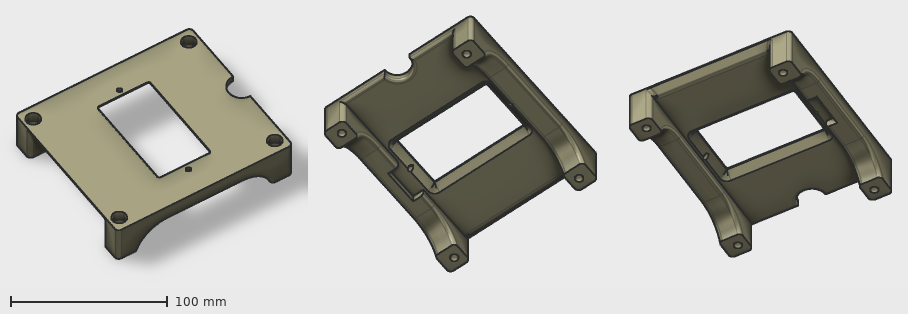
import cadquery as cq
import math

width = 118.7
length = 134.0
height = 27.9
corner_radius = 3.0

deck_thickness = 6.3
lip_thickness = 1.1
rail_width = 16.3
leg_edge_radius = 3.2
slope_foot_radius = 3.2
slope_corner_radius = 2.7
rear_edge_radius = 2.5

arch_top_depth = 12.3
arch_flat_half = 28.4
arch_radius = 24.1
arch_edge_radius = 2.5

leg_hole_spacing_x = 100.0
leg_hole_spacing_y = 118.7
leg_hole_diameter = 5.5
head_diameter = 10.0
head_depth = 8.0

window_width = 71.8
window_length = 39.9
window_corner_radius = 1.6
bevel_angle = 45.0
screw_spacing = 80.1
screw_hole_diameter = 3.5

notch_radius = 9.9

pocket_front_y = -17.4
pocket_rear_y = 9.1
pocket_depth = 8.0

deck_bottom = height - deck_thickness
lip_bottom = height - lip_thickness
slope_rise = lip_bottom - deck_bottom
arch_top = height - arch_top_depth
rail_outer_x = width / 2
rail_inner_x = rail_outer_x - rail_width
end_y = length / 2
slope_foot_y = slope_rise - end_y
touch = 0.1


def near(x_range, y_range, z_range):
    """Select what is centred inside a box given by its X, Y and Z ranges."""
    low, high = zip(x_range, y_range, z_range)
    return cq.selectors.BoxSelector(low, high)


def around(value):
    return value - touch, value + touch


def make_block():
    block = cq.Workplane("XY").box(width, length, height, centered=(True, True, False))
    return block.edges("|Z").fillet(corner_radius)


def make_passage(top):
    """Space between the legs up to a level, flared at both ends so that the leg edges are round."""
    flare_y = end_y - leg_edge_radius
    flare_x = rail_inner_x + leg_edge_radius
    flare_inset = leg_edge_radius * (1 - math.sqrt(0.5))
    mid_x = rail_inner_x + flare_inset
    mid_y = end_y - flare_inset
    return (
        cq.Workplane("XY")
        .moveTo(-flare_x, -end_y)
        .lineTo(flare_x, -end_y)
        .threePointArc((mid_x, -mid_y), (rail_inner_x, -flare_y))
        .lineTo(rail_inner_x, flare_y)
        .threePointArc((mid_x, mid_y), (flare_x, end_y))
        .lineTo(-flare_x, end_y)
        .threePointArc((-mid_x, mid_y), (-rail_inner_x, flare_y))
        .lineTo(-rail_inner_x, -flare_y)
        .threePointArc((-mid_x, -mid_y), (-flare_x, -end_y))
        .close()
        .extrude(top)
    )


def make_front_slope():
    """Wedge under the front lip; its 45 degree face meets the legs in rounded corners."""
    wedge_height = slope_rise + slope_corner_radius
    wedge_bottom = lip_bottom - wedge_height
    wedge = (
        cq.Workplane("YZ")
        .moveTo(-end_y, wedge_bottom)
        .lineTo(-end_y, lip_bottom)
        .lineTo(wedge_height - end_y, wedge_bottom)
        .close()
        .extrude(width, both=True)
    )
    wedge = make_passage(height).intersect(wedge)
    slope_face = wedge.faces(near(around(0), (touch - end_y, 0), (wedge_bottom + touch, lip_bottom)))
    return slope_face.edges("not |X").fillet(slope_corner_radius)


def make_foot_rounding():
    """Sliver between the sharp foot of the slope and the arc that blends it into the deck underside."""
    half_bend = math.radians(22.5)
    tangent = slope_foot_radius * math.tan(half_bend)
    drop = tangent * math.sqrt(0.5)
    mid_y = slope_foot_y + tangent - slope_foot_radius * math.sin(half_bend)
    mid_z = deck_bottom + slope_foot_radius * (1 - math.cos(half_bend))
    return (
        cq.Workplane("YZ")
        .moveTo(slope_foot_y - drop, deck_bottom + drop)
        .threePointArc((mid_y, mid_z), (slope_foot_y + tangent, deck_bottom))
        .lineTo(slope_foot_y, deck_bottom)
        .close()
        .extrude(rail_inner_x, both=True)
    )


def make_arch():
    """Flat-topped opening with a round shoulder at each end, running through both rails."""
    sweep = math.acos((arch_radius - arch_top) / arch_radius)

    def shoulder(side, angle):
        y = arch_flat_half + arch_radius * math.sin(angle)
        z = arch_top - arch_radius * (1 - math.cos(angle))
        return side * y, z

    return (
        cq.Workplane("YZ")
        .moveTo(*shoulder(-1, sweep))
        .threePointArc(shoulder(-1, sweep / 2), shoulder(-1, 0))
        .lineTo(*shoulder(1, 0))
        .threePointArc(shoulder(1, sweep / 2), shoulder(1, sweep))
        .close()
        .extrude(width, both=True)
    )


def round_arch_rims(body):
    """Round the arch edges on the outer and inner face of both rails."""
    for x in (-rail_outer_x, -rail_inner_x, rail_inner_x, rail_outer_x):
        rim = body.edges(near(around(x), (-end_y, end_y), (touch, arch_top + touch))).edges("not |Z")
        body = rim.fillet(arch_edge_radius)
    return body


def make_window():
    """Through window whose underside widens from the thin lip to the bottom of the deck."""
    opening = cq.Workplane("XY").rect(window_width, window_length).extrude(height)
    opening = opening.edges("|Z").fillet(window_corner_radius)
    bevel = (
        cq.Workplane("XY", origin=(0, 0, lip_bottom))
        .rect(window_width, window_length)
        .extrude(-slope_rise, taper=-bevel_angle)
    )
    return opening.union(bevel)


def make_window_screw_holes():
    places = [(-screw_spacing / 2, 0), (screw_spacing / 2, 0)]
    return cq.Workplane("XY").pushPoints(places).circle(screw_hole_diameter / 2).extrude(height)


def make_leg_hole():
    """Screw shank, cone and head recess, turned about the hole axis."""
    shank_radius = leg_hole_diameter / 2
    head_radius = head_diameter / 2
    cone_top = height - head_depth
    cone_bottom = cone_top - (head_radius - shank_radius)
    return (
        cq.Workplane("XZ")
        .moveTo(0, 0)
        .lineTo(shank_radius, 0)
        .lineTo(shank_radius, cone_bottom)
        .lineTo(head_radius, cone_top)
        .lineTo(head_radius, height)
        .lineTo(0, height)
        .close()
        .revolve(360, (0, 0, 0), (0, 1, 0))
    )


def cut_leg_holes(body):
    hole = make_leg_hole()
    for x in (-leg_hole_spacing_x / 2, leg_hole_spacing_x / 2):
        for y in (-leg_hole_spacing_y / 2, leg_hole_spacing_y / 2):
            body = body.cut(hole.translate((x, y, 0)))
    return body


def cut_notch(body):
    """Cut the cable notch, then round the lower rear edge of the deck along with it."""
    notch = cq.Workplane("XY").center(0, end_y).circle(notch_radius).extrude(height)
    body = body.cut(notch)
    notch_y_range = (end_y - notch_radius - touch, end_y + touch)
    rear_edge = body.edges(near((-rail_inner_x, rail_inner_x), notch_y_range, around(deck_bottom)))
    return rear_edge.fillet(rear_edge_radius)


def make_rail_pocket():
    pocket_length = pocket_rear_y - pocket_front_y
    pocket = cq.Workplane("XY").box(pocket_depth, pocket_length, deck_bottom, centered=False)
    return pocket.translate((rail_inner_x, pocket_front_y, 0))


frame = make_block().cut(make_passage(deck_bottom)).cut(make_front_slope()).cut(make_foot_rounding())
frame = round_arch_rims(frame.cut(make_arch()))
frame = frame.cut(make_window()).cut(make_window_screw_holes())
frame = cut_leg_holes(cut_notch(frame))
result = frame.cut(make_rail_pocket())